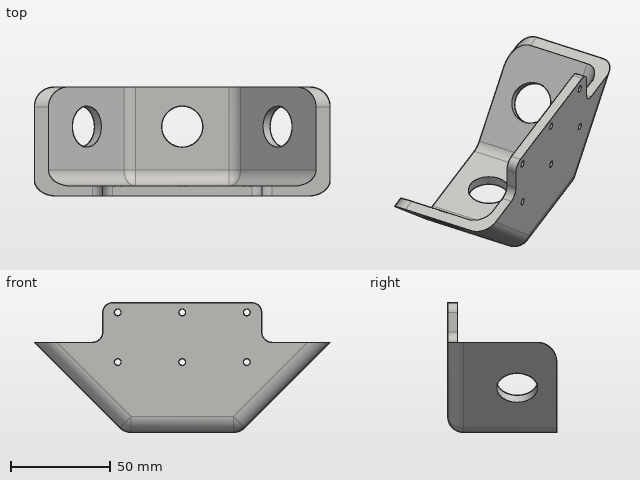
import cadquery as cq
import math

rim_width = 149.0
depth = 55.0
total_height = 65.4
tab_height = 20.0
tab_width = 80.2
thickness = 5.0
bend_radius = 8.0
tab_radius = 5.0
wing_radius = 10.0
wing_angle = 45.0

large_hole_diameter = 20.5
large_hole_y = 35.0
wing_hole_drop = 23.0

small_hole_diameter = 3.3
small_hole_pitch_x = 32.5
small_hole_pitch_z = 25.0
small_hole_edge = 4.9

rim_z = total_height - tab_height
slope = math.radians(wing_angle)
floor_width = rim_width - 2 * rim_z / math.tan(slope)
wall_run = thickness / math.sin(slope)
corner_shift = thickness * math.tan(slope / 2)


def rounded_trough(top_width, bottom_width, bottom_z, front_y):
    """Trapezoidal block with rounded lower corners and lower front edges."""
    block = (
        cq.Workplane("XZ", origin=(0, front_y, 0))
        .polyline([
            (-top_width / 2, rim_z),
            (-bottom_width / 2, bottom_z),
            (bottom_width / 2, bottom_z),
            (top_width / 2, rim_z),
        ])
        .close()
        .extrude(front_y - depth)
    )
    long_edges = block.edges("|Y").edges("<Z")
    front_edges = block.faces("<Y").edges("not(>Z)")
    return block.newObject(long_edges.vals() + front_edges.vals()).fillet(bend_radius)


def through_hole(center, direction):
    """Cylinder for a large hole, centred in length on the given point."""
    length = 4 * thickness
    axis = cq.Vector(*direction).normalized()
    start = cq.Vector(*center) - axis * (length / 2)
    return cq.Solid.makeCylinder(large_hole_diameter / 2, length, start, axis)


outer = rounded_trough(rim_width, floor_width, 0, 0)
inner = rounded_trough(
    rim_width - 2 * wall_run, floor_width - 2 * corner_shift, thickness, thickness
)
bracket = outer.cut(inner)

corner_block = (
    cq.Workplane("YZ")
    .center(depth - wing_radius / 2, rim_z - wing_radius / 2)
    .rect(wing_radius, wing_radius)
    .extrude(rim_width / 2, both=True)
)
corner_round = (
    cq.Workplane("YZ")
    .center(depth - wing_radius, rim_z - wing_radius)
    .circle(wing_radius)
    .extrude(rim_width / 2, both=True)
)
bracket = bracket.cut(corner_block.cut(corner_round))

half_tab = tab_width / 2
foot_half = half_tab + tab_radius
tab = (
    cq.Workplane("XZ")
    .moveTo(-foot_half, rim_z - thickness)
    .lineTo(-foot_half, rim_z)
    .radiusArc((-half_tab, rim_z + tab_radius), -tab_radius)
    .lineTo(-half_tab, total_height - tab_radius)
    .radiusArc((-half_tab + tab_radius, total_height), tab_radius)
    .lineTo(half_tab - tab_radius, total_height)
    .radiusArc((half_tab, total_height - tab_radius), tab_radius)
    .lineTo(half_tab, rim_z + tab_radius)
    .radiusArc((foot_half, rim_z), -tab_radius)
    .lineTo(foot_half, rim_z - thickness)
    .close()
    .extrude(-thickness)
)
bracket = bracket.union(tab)

bracket = bracket.cut(through_hole((0, large_hole_y, 0), (0, 0, 1)))
wing_hole_x = rim_width / 2 - wing_hole_drop / math.tan(slope)
for side in (-1, 1):
    center = (side * wing_hole_x, large_hole_y, rim_z - wing_hole_drop)
    normal = (side * math.sin(slope), 0, -math.cos(slope))
    bracket = bracket.cut(through_hole(center, normal))

upper_row_z = total_height - small_hole_edge
small_holes = (
    cq.Workplane("XZ")
    .pushPoints([
        (column * small_hole_pitch_x, upper_row_z - row * small_hole_pitch_z)
        for column in (-1, 0, 1)
        for row in (0, 1)
    ])
    .circle(small_hole_diameter / 2)
    .extrude(-thickness)
)
result = bracket.cut(small_holes)